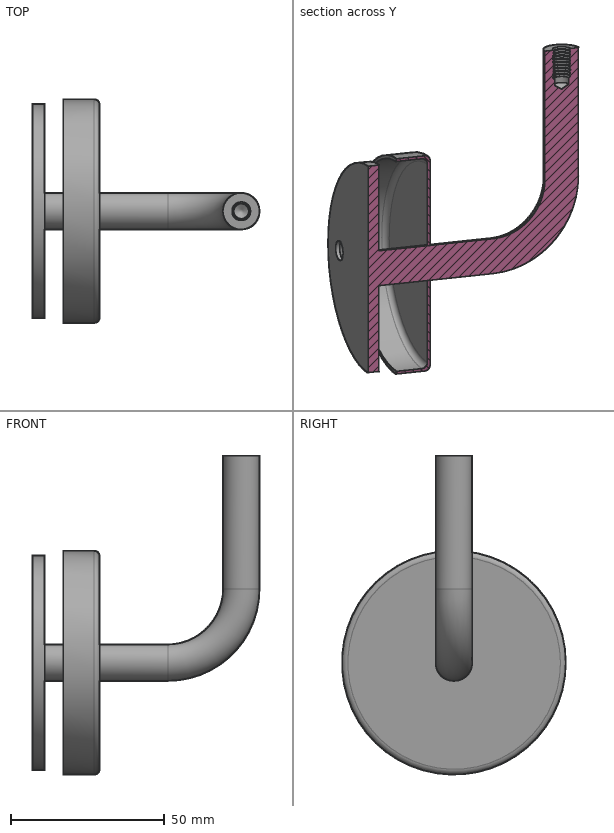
import cadquery as cq
import math

plate_diameter = 70.0
plate_thickness = 4.0
screw_hole_diameter = 6.5
countersink_diameter = 12.6
countersink_angle = 100.0
screw_hole_offset = 25.0

arm_diameter = 12.0
arm_reach = 74.0
arm_axis_x = arm_reach - arm_diameter / 2
bend_radius = 24.0

cover_diameter = 73.0
cover_bore_diameter = 70.8
cover_depth = 12.0
cover_start_x = 10.0
cover_wall = (cover_diameter - cover_bore_diameter) / 2
cover_edge_radius = 1.9

overall_height = 104.0
arm_tip_z = overall_height - cover_diameter / 2

thread_minor_diameter = 4.9
thread_major_diameter = 6.0
thread_pitch = 1.0
thread_turns = 10
tapped_hole_depth = 12.0
drill_point_angle = 118.0


def disc_along_x(diameter, length, start_x):
    return cq.Workplane("YZ").workplane(offset=start_x).circle(diameter / 2).extrude(length)


def make_plate():
    """Round plate with two screw holes, countersunk on the side facing the cover."""
    plate = disc_along_x(plate_diameter, plate_thickness, 0)
    return (
        plate.faces(">X")
        .workplane()
        .pushPoints([(-screw_hole_offset, 0), (screw_hole_offset, 0)])
        .cskHole(screw_hole_diameter, countersink_diameter, countersink_angle)
    )


def make_arm_rod():
    path = (
        cq.Workplane("XZ")
        .moveTo(plate_thickness, 0)
        .lineTo(arm_axis_x - bend_radius, 0)
        .radiusArc((arm_axis_x, bend_radius), -bend_radius)
        .lineTo(arm_axis_x, arm_tip_z)
    )
    profile = cq.Workplane("YZ").workplane(offset=plate_thickness).circle(arm_diameter / 2)
    return profile.sweep(path)


def make_tapped_hole():
    """Half profile of the threaded hole, revolved about the arm axis; depth is measured down from the tip.

    The thread is simplified to a stack of V-shaped ring grooves.
    """
    minor_radius = thread_minor_diameter / 2
    major_radius = thread_major_diameter / 2
    point_depth = minor_radius / math.tan(math.radians(drill_point_angle / 2))

    outline = [(0, 0)]
    for turn in range(thread_turns):
        groove_depth = turn * thread_pitch
        outline.append((major_radius, -groove_depth))
        outline.append((minor_radius, -(groove_depth + thread_pitch / 2)))
    outline.append((minor_radius, -tapped_hole_depth))
    outline.append((0, -(tapped_hole_depth + point_depth)))

    hole = cq.Workplane("XZ").polyline(outline).close().revolve(360, (0, 0, 0), (0, 1, 0))
    return hole.translate((arm_axis_x, 0, arm_tip_z))


def make_bracket():
    """Plate and arm in one piece, with the tapped hole in the arm tip."""
    return make_plate().union(make_arm_rod()).cut(make_tapped_hole())


def make_cover():
    """Cup of even wall thickness, rounded inside and out, with a hole that fits the arm."""
    cup = disc_along_x(cover_diameter, cover_depth, cover_start_x)
    cup = cup.faces(">X").edges().fillet(cover_edge_radius)
    cavity = disc_along_x(cover_bore_diameter, cover_depth - cover_wall, cover_start_x)
    cavity = cavity.faces(">X").edges().fillet(cover_edge_radius)
    arm_hole = disc_along_x(arm_diameter, cover_depth, cover_start_x)
    return cup.cut(cavity).cut(arm_hole)


bracket = make_bracket()
cover = make_cover()

result = cq.Compound.makeCompound([bracket.val(), cover.val()])